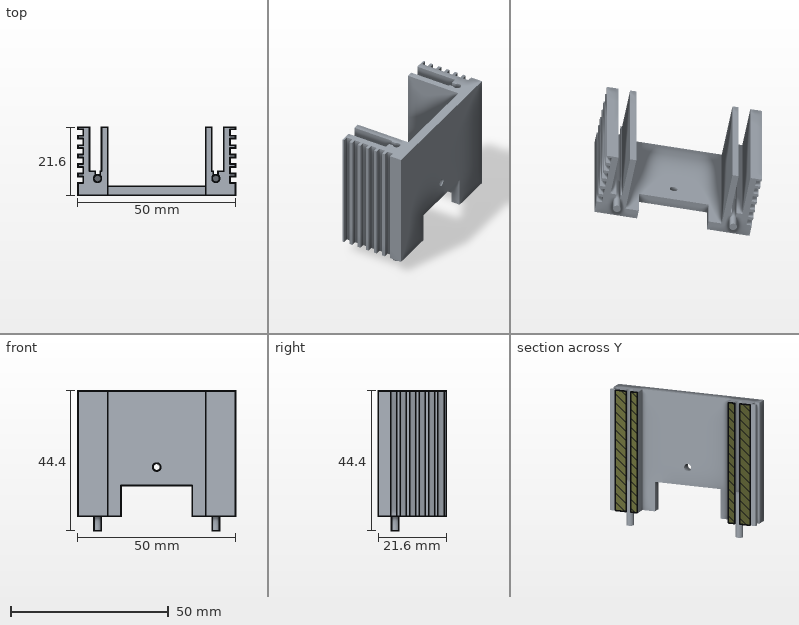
import cadquery as cq

width = 50.0
depth = 21.65
height = 39.75

plate_thickness = 3.0
wing_width = 9.5
plate_width = width - 2 * wing_width
notch_width = 22.5
notch_height = 9.7
screw_hole_diameter = 2.4
screw_hole_height = 15.6

groove_count = 6
groove_pitch = 3.0
groove_width = 2.0
groove_depth = 1.7
first_groove_y = 4.0

slot_outer_inset = 3.75
slot_width = 3.75
slot_floor_y = 7.75

pin_diameter = 2.4
pin_inset = 6.25
pin_y = 5.4
pin_exposed_length = 4.6
pin_seated_length = 10.0
neck_outer_inset = 5.6
neck_width = 1.45


def make_plate():
    """Flat centre plate with a notch in its lower edge and one screw hole."""
    plate = cq.Workplane("XY").box(plate_width, plate_thickness, height, centered=(True, False, False))
    notch = cq.Workplane("XY").box(notch_width, plate_thickness, notch_height, centered=(True, False, False))
    screw_hole = (
        cq.Workplane("XZ")
        .center(0, screw_hole_height)
        .circle(screw_hole_diameter / 2)
        .extrude(-plate_thickness)
    )
    return plate.cut(notch).cut(screw_hole)


def wing_block(inset, start_y, size_x, size_y):
    """Full-height block in the left wing, with X measured inward from the outer side."""
    return (
        cq.Workplane("XY")
        .box(size_x, size_y, height, centered=False)
        .translate((inset - width / 2, start_y, 0))
    )


def pin_cylinder(bottom_z, length):
    """Round bar on the axis of the left pin."""
    return (
        cq.Workplane("XY", origin=(pin_inset - width / 2, pin_y, bottom_z))
        .circle(pin_diameter / 2)
        .extrude(length)
    )


def make_left_wing():
    """Finned wing with a deep slot and a through hole for the pin."""
    wing = wing_block(0, 0, wing_width, depth)
    for index in range(groove_count):
        groove_y = first_groove_y + index * groove_pitch
        wing = wing.cut(wing_block(0, groove_y, groove_depth, groove_width))
    wing = wing.cut(wing_block(slot_outer_inset, slot_floor_y, slot_width, depth - slot_floor_y))
    wing = wing.cut(wing_block(neck_outer_inset, pin_y, neck_width, slot_floor_y - pin_y))
    return wing.cut(pin_cylinder(0, height))


def make_left_pin():
    """Solder pin seated in the lower end of the wing's hole."""
    return pin_cylinder(-pin_exposed_length, pin_exposed_length + pin_seated_length)


plate = make_plate()
left_parts = [make_left_wing(), make_left_pin()]
right_parts = [part.mirror("YZ") for part in left_parts]

result = cq.Compound.makeCompound([plate.val(), *[part.val() for part in left_parts + right_parts]])